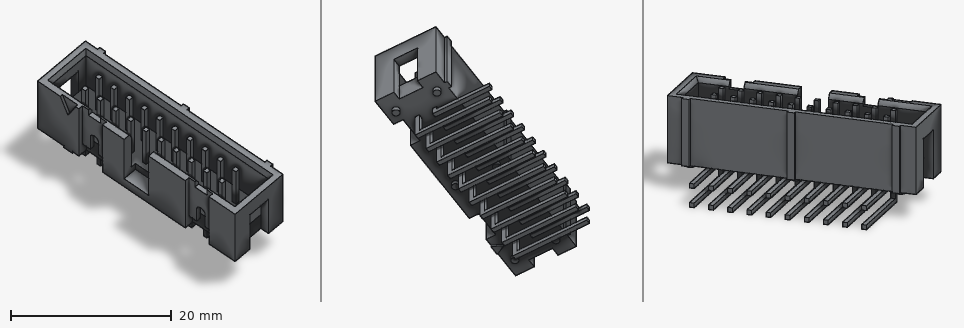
import cadquery as cq


length = 33.0
depth = 8.9
height = 8.9
end_wall = 1.3
front_wall = 1.4
back_wall = 1.32
floor_top = 2.57
lead_in_width = 0.43
lead_in_depth = 0.7
cavity_length = length - 2 * end_wall
cavity_depth = depth - front_wall - back_wall
front_y = -cavity_depth / 2 - front_wall
back_y = front_y + depth

pitch = 2.55
pins_per_row = 10
pin_size = 0.63
pin_top = 8.68
tail_reach = 4.9
tail_end_y = back_y + tail_reach
lowest_z = -3.6
first_pin_x = -pitch * (pins_per_row - 1) / 2

key_width = 4.1
key_depth = 2.1
key_bottom = 1.5

latch_positions = (-3 * pitch, 4 * pitch)
latch_width = 3.95
latch_recess = 0.7
latch_foot_height = 1.68
latch_slot_width = 1.4
latch_slot_top = 4.7
top_notch_width = 1.98
top_notch_depth = 1.02

window_width = 3.45
window_top = 6.47

peg_diameter = 1.0
peg_length = 0.6
peg_x = 13.95
peg_y = 3.0
rib_width = peg_diameter
rib_projection = 0.4

mark_width = 2.55
mark_height = 2.55
mark_recess = 0.4
foot_mark_size = 1.5
foot_mark_height = 0.3


def block(x_range, y_range, z_range):
    """Box spanning the given (low, high) ranges."""
    sizes = [high - low for low, high in (x_range, y_range, z_range)]
    corner = (x_range[0], y_range[0], z_range[0])
    return cq.Workplane("XY").box(*sizes, centered=False).translate(corner)


def span(centre, size):
    """Range of the given size about a centre."""
    return (centre - size / 2, centre + size / 2)


def make_housing():
    """Open box with a sloped lead-in around the mouth of the cavity."""
    shell = block(span(0, length), (front_y, back_y), (0, height))
    cavity = block(span(0, cavity_length), span(0, cavity_depth), (floor_top, height))
    lead_in = (
        cq.Workplane("XY", origin=(0, 0, height - lead_in_depth))
        .rect(cavity_length, cavity_depth)
        .workplane(offset=lead_in_depth)
        .rect(cavity_length + 2 * lead_in_width, cavity_depth + 2 * lead_in_width)
        .loft(ruled=True)
    )
    return shell.cut(cavity).cut(lead_in)


def make_key_slot():
    return block(span(0, key_width), (front_y, front_y + key_depth), (key_bottom, height))


def make_latch_cut(x):
    """Shallow full-height recess with a deeper foot, a round-topped slot and a notch in the rim."""
    wall = (front_y, front_y + front_wall)
    recess = block(span(x, latch_width), (front_y, front_y + latch_recess), (0, height))
    foot = block(span(x, latch_width), wall, (0, latch_foot_height))
    arch_z = latch_slot_top - latch_slot_width / 2
    slot = block(span(x, latch_slot_width), wall, (latch_foot_height, arch_z))
    arch = (
        cq.Workplane("XZ", origin=(x, front_y, arch_z))
        .circle(latch_slot_width / 2)
        .extrude(-front_wall)
    )
    notch = block(span(x, top_notch_width), wall, (height - top_notch_depth, height))
    return recess.union(foot).union(slot).union(arch).union(notch)


def make_end_window(side):
    """Opening through one end wall, running down to the underside; side is -1 or 1."""
    centre_x = side * (length - end_wall) / 2
    return block(span(centre_x, end_wall), span(0, window_width), (0, window_top))


def make_front_mark():
    """Triangular recess pointing down to pin 1."""
    return (
        cq.Workplane("XZ", origin=(first_pin_x, front_y, height))
        .polyline([(-mark_width / 2, 0), (mark_width / 2, 0), (0, -mark_height)])
        .close()
        .extrude(-mark_recess)
    )


def make_foot_mark():
    """Raised triangle under the front edge at pin 1."""
    half = foot_mark_size / 2
    return (
        cq.Workplane("XY", origin=(first_pin_x, front_y, 0))
        .polyline([(-half, 0), (half, 0), (0, foot_mark_size)])
        .close()
        .extrude(-foot_mark_height)
    )


def make_pin(x, y, tail_bottom):
    """Square pin bent at a right angle below the housing."""
    post_y = span(y, pin_size)
    post = block(span(x, pin_size), post_y, (tail_bottom, pin_top))
    tail = block(span(x, pin_size), (post_y[0], tail_end_y), (tail_bottom, tail_bottom + pin_size))
    return post.union(tail)


def make_pegs():
    places = [(x, y) for x in (-peg_x, 0, peg_x) for y in (-peg_y, peg_y)]
    return cq.Workplane("XY").pushPoints(places).circle(peg_diameter / 2).extrude(-peg_length)


result = make_housing().cut(make_key_slot()).cut(make_front_mark())
for latch_x in latch_positions:
    result = result.cut(make_latch_cut(latch_x))
for end in (-1, 1):
    result = result.cut(make_end_window(end))

result = result.union(make_pegs()).union(make_foot_mark())
for rib_x in (-peg_x, 0, peg_x):
    result = result.union(block(span(rib_x, rib_width), (back_y, back_y + rib_projection), (0, height)))

for index in range(pins_per_row):
    pin_x = first_pin_x + index * pitch
    result = result.union(make_pin(pin_x, -pitch / 2, lowest_z))
    result = result.union(make_pin(pin_x, pitch / 2, lowest_z + pitch))